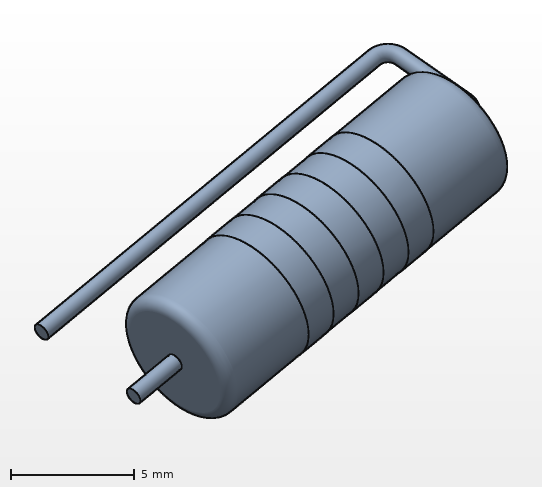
import cadquery as cq

total_length = 21.12
total_width = 8.47
body_diameter = 6.0
body_length = 17.0
body_edge_radius = 0.5
band_diameter = 6.02
band_width = 1.5
band_count = 3
wire_diameter = 0.75
bend_radius = wire_diameter
lead_stub = 2.5

wire_radius = wire_diameter / 2
lead_pitch = total_width - band_diameter / 2 - wire_radius
band_pitch = 2 * band_width
far_run_y = total_length - wire_radius
bend_start_y = far_run_y - bend_radius
body_middle_y = lead_stub + body_length / 2


def make_body():
    """Round body with rounded rims, starting one stub length from the lead tips."""
    body = cq.Workplane("XZ", origin=(0, lead_stub, 0)).circle(body_diameter / 2).extrude(-body_length)
    return body.edges().fillet(body_edge_radius)


def make_band(middle_y):
    """Colour band: a disc around the body axis, centred at the given Y."""
    start_y = middle_y - band_width / 2
    return cq.Workplane("XZ", origin=(0, start_y, 0)).circle(band_diameter / 2).extrude(-band_width)


def make_wire(path, start):
    """Round wire swept along a path that leaves its start point in the Y direction."""
    return cq.Workplane("XZ", origin=start).circle(wire_radius).sweep(path)


def make_near_lead():
    path = cq.Workplane("XY").lineTo(0, body_middle_y)
    return make_wire(path, (0, 0, 0))


def make_folded_lead():
    """Lead from inside the body, out of its far end and back to the near lead's tip plane."""
    path = (
        cq.Workplane("XY")
        .moveTo(0, body_middle_y)
        .lineTo(0, bend_start_y)
        .tangentArcPoint((-bend_radius, far_run_y), relative=False)
        .lineTo(-lead_pitch + bend_radius, far_run_y)
        .tangentArcPoint((-lead_pitch, bend_start_y), relative=False)
        .lineTo(-lead_pitch, 0)
    )
    return make_wire(path, (0, body_middle_y, 0))


result = make_body().union(make_near_lead()).union(make_folded_lead())
for index in range(band_count):
    offset = (index - (band_count - 1) / 2) * band_pitch
    result = result.union(make_band(body_middle_y + offset))